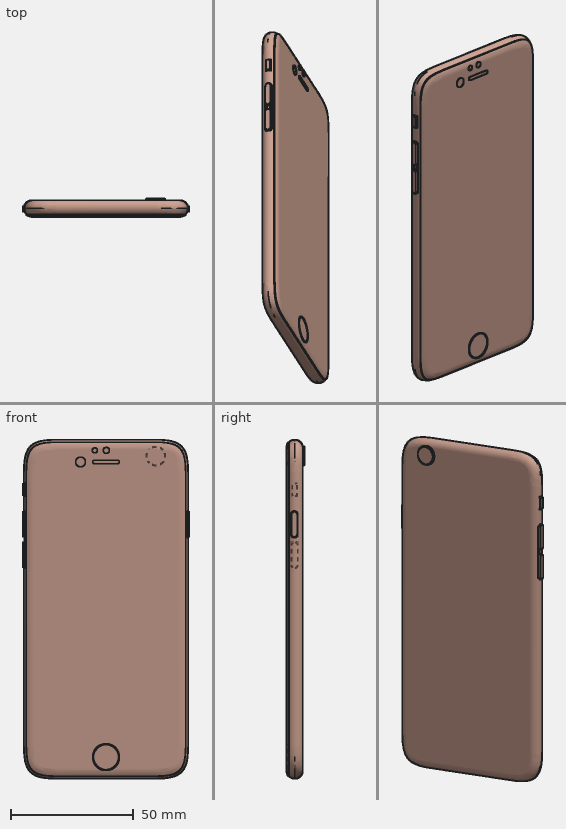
import cadquery as cq
import math


LENGTH = 138.1
BUTTON_PROUD = 0.35
WIDTH = 67.7 - 2 * BUTTON_PROUD
CORNER_REACH = 13.1
CORNER_HANDLE = 0.78
BACK_RADIUS = 3.3
FRONT_RADIUS = 3.2
BACK_Y = BACK_RADIUS

FRONT_Y = -3.6
GLASS_INSET = 1.1
GLASS_STEP = 0.4
GLASS_CURVE_DROP = 0.8
FLAT_INSET = 4.1
GLASS_EDGE_Y = FRONT_Y + GLASS_CURVE_DROP
HOUSING_RIM_Y = GLASS_EDGE_Y + GLASS_STEP
RING_INNER_INSET = 5.8
SLAB_INSET = 5.0
SLAB_CORNER_RADIUS = 4.1

DISPLAY_HEIGHT = 104.6
DISPLAY_WIDTH = WIDTH - 2 * FLAT_INSET
DISPLAY_DEPTH = 0.7
RECESS_DEPTH = 0.3
HOME_Z = -60.2
HOME_DIAMETER = 10.9
HOME_GROOVE = 0.35
EARPIECE_Z = 60.0
EARPIECE_LENGTH = 10.8
EARPIECE_HEIGHT = 1.5
FRONT_OPENINGS = [(-10.4, EARPIECE_Z, 4.0), (-4.5, 64.6, 2.1), (0.1, 64.6, 2.5)]

CONTROL_Y = -0.21
POCKET_DEPTH = 0.7
BUTTON_ROOT_DEPTH = 2 * POCKET_DEPTH
BUTTON_WIDTH = 2.2
BUTTON_LENGTH = 10.2
BUTTON_CLEARANCE = 0.35
UPPER_BUTTON_Z = 34.5
LOWER_BUTTON_Z = 22.1
BRIDGE_WIDTH = 1.4
BRIDGE_LENGTH = 2.1
BRIDGE_SINK = 0.3
SWITCH_Z = 48.8
SWITCH_LENGTH = 4.7
SWITCH_WIDTH = 1.5
BLOCK_CORNER = 0.3

CAMERA_X = 20.2
CAMERA_Z = 62.5
CAMERA_BASE_DIAMETER = 8.0
CAMERA_TOP_DIAMETER = 7.2
CAMERA_HEIGHT = 0.8


def phone_outline():
    """Closed front outline with smoothly blended corners, starting mid-height on the +X side."""
    half_w = WIDTH / 2
    half_l = LENGTH / 2
    start_gap = CORNER_REACH * (1 - CORNER_HANDLE)

    def corner(sx, sz, from_side):
        on_side = (sx * half_w, sz * (half_l - CORNER_REACH))
        side_handle = (sx * half_w, sz * (half_l - start_gap))
        end_handle = (sx * (half_w - start_gap), sz * half_l)
        on_end = (sx * (half_w - CORNER_REACH), sz * half_l)
        points = [on_side, side_handle, end_handle, on_end]
        return points if from_side else points[::-1]

    outline = cq.Workplane("XZ").moveTo(half_w, 0)
    for sx, sz, from_side in [(1, 1, True), (-1, 1, False), (-1, -1, True), (1, -1, False)]:
        points = corner(sx, sz, from_side)
        outline = outline.lineTo(*points[0]).bezier(points[1:], includeCurrent=True)
    return outline.close()


def arc_middle(center, radius, degrees):
    """Point on a circle, used as the middle point of an arc."""
    angle = math.radians(degrees)
    return (center[0] + radius * math.cos(angle), center[1] + radius * math.sin(angle))


def border_ring():
    """Rounded border: the edge section carried around the outline."""
    edge_x = WIDTH / 2
    inner_x = edge_x - RING_INNER_INSET
    flat_x = edge_x - FLAT_INSET
    glass_x = edge_x - GLASS_INSET
    rim_angle = math.degrees(math.asin(HOUSING_RIM_Y / FRONT_RADIUS))
    rim_x = edge_x - FRONT_RADIUS + math.sqrt(FRONT_RADIUS**2 - HOUSING_RIM_Y**2)

    curve_width = glass_x - flat_x
    glass_radius = (curve_width**2 + GLASS_CURVE_DROP**2) / (2 * GLASS_CURVE_DROP)
    glass_sweep = math.degrees(math.asin(curve_width / glass_radius))

    section = (
        cq.Workplane("XY")
        .moveTo(inner_x, BACK_Y)
        .lineTo(edge_x - BACK_RADIUS, BACK_Y)
        .threePointArc(arc_middle((edge_x - BACK_RADIUS, 0), BACK_RADIUS, 45), (edge_x, 0))
        .threePointArc(
            arc_middle((edge_x - FRONT_RADIUS, 0), FRONT_RADIUS, rim_angle / 2),
            (rim_x, HOUSING_RIM_Y),
        )
        .lineTo(glass_x, HOUSING_RIM_Y)
        .lineTo(glass_x, GLASS_EDGE_Y)
        .threePointArc(
            arc_middle((flat_x, FRONT_Y + glass_radius), glass_radius, -90 + glass_sweep / 2),
            (flat_x, FRONT_Y),
        )
        .lineTo(inner_x, FRONT_Y)
        .close()
    )
    return section.sweep(phone_outline())


def middle_slab():
    """Flat slab that fills the border ring."""
    slab = cq.Workplane("XY").box(
        WIDTH - 2 * SLAB_INSET,
        BACK_Y - FRONT_Y,
        LENGTH - 2 * SLAB_INSET,
    )
    slab = slab.edges("|Y").fillet(SLAB_CORNER_RADIUS)
    return slab.translate((0, (BACK_Y + FRONT_Y) / 2, 0))


def display_panel():
    """Panel set flush into the flat front."""
    panel = cq.Workplane("XY").box(DISPLAY_WIDTH, DISPLAY_DEPTH, DISPLAY_HEIGHT)
    return panel.translate((0, FRONT_Y + DISPLAY_DEPTH / 2, 0))


def front_sketch(x, z):
    """Sketch plane on the flat front, centred on a feature."""
    return cq.Workplane("XZ", origin=(x, FRONT_Y, z))


def front_recesses():
    """Shallow openings in the glass: home button groove, earpiece, camera and sensors."""
    cutters = (
        front_sketch(0, HOME_Z)
        .circle(HOME_DIAMETER / 2)
        .circle(HOME_DIAMETER / 2 - HOME_GROOVE)
        .extrude(-RECESS_DEPTH)
    )
    earpiece = front_sketch(0, EARPIECE_Z).slot2D(EARPIECE_LENGTH, EARPIECE_HEIGHT)
    cutters = cutters.union(earpiece.extrude(-RECESS_DEPTH))
    for x, z, diameter in FRONT_OPENINGS:
        opening = front_sketch(x, z).circle(diameter / 2)
        cutters = cutters.union(opening.extrude(-RECESS_DEPTH))
    return cutters


def side_slot(side, z, length, width, inner_depth, proud):
    """Pill-shaped block on one side (-1 or +1), from a depth inside to a height outside."""
    start_x = WIDTH / 2 - inner_depth
    pill = cq.Workplane("YZ").center(CONTROL_Y, z).slot2D(length, width, 90)
    pill = pill.extrude(inner_depth + proud).translate((start_x, 0, 0))
    return pill if side > 0 else pill.mirror("YZ")


def side_block(z, length, width, inner_depth, proud):
    """Rectangular block on the -X side, from a depth inside to a height outside."""
    block = cq.Workplane("XY").box(inner_depth + proud, width, length)
    center_x = -WIDTH / 2 + (inner_depth - proud) / 2
    return block.edges("|X").fillet(BLOCK_CORNER).translate((center_x, CONTROL_Y, z))


def add_side_controls(body):
    """Volume buttons and mute switch on the -X side, power button on the +X side."""
    pocket_width = BUTTON_WIDTH + 2 * BUTTON_CLEARANCE
    pocket_length = BUTTON_LENGTH + 2 * BUTTON_CLEARANCE

    volume_z = (UPPER_BUTTON_Z + LOWER_BUTTON_Z) / 2
    volume_length = pocket_length + UPPER_BUTTON_Z - LOWER_BUTTON_Z
    body = body.cut(side_slot(-1, volume_z, volume_length, pocket_width, POCKET_DEPTH, BUTTON_PROUD))
    body = body.cut(side_slot(1, UPPER_BUTTON_Z, pocket_length, pocket_width, POCKET_DEPTH, BUTTON_PROUD))
    for side, z in [(-1, UPPER_BUTTON_Z), (-1, LOWER_BUTTON_Z), (1, UPPER_BUTTON_Z)]:
        body = body.union(side_slot(side, z, BUTTON_LENGTH, BUTTON_WIDTH, BUTTON_ROOT_DEPTH, BUTTON_PROUD))
    body = body.union(side_block(volume_z, BRIDGE_LENGTH, BRIDGE_WIDTH, BUTTON_ROOT_DEPTH, -BRIDGE_SINK))

    switch_pocket_length = SWITCH_LENGTH + 2 * BUTTON_CLEARANCE
    switch_pocket_width = SWITCH_WIDTH + 2 * BUTTON_CLEARANCE
    body = body.cut(
        side_block(SWITCH_Z, switch_pocket_length, switch_pocket_width, POCKET_DEPTH, BUTTON_PROUD)
    )
    return body.union(side_block(SWITCH_Z, SWITCH_LENGTH, SWITCH_WIDTH, BUTTON_ROOT_DEPTH, BUTTON_PROUD))


def rear_camera():
    """Tapered camera bump standing on the back."""
    camera_chamfer = (CAMERA_BASE_DIAMETER - CAMERA_TOP_DIAMETER) / 2
    bump = (
        cq.Workplane("XZ", origin=(CAMERA_X, BACK_Y, CAMERA_Z))
        .circle(CAMERA_BASE_DIAMETER / 2)
        .extrude(-CAMERA_HEIGHT)
        .faces(">Y")
        .chamfer(camera_chamfer)
    )
    root = cq.Workplane("XZ", origin=(CAMERA_X, BACK_Y, CAMERA_Z))
    root = root.circle(CAMERA_BASE_DIAMETER / 2).extrude(BACK_RADIUS / 2)
    return bump.union(root)


body = border_ring().union(middle_slab())
body = body.union(rear_camera())
body = add_side_controls(body)
display = display_panel()
body = body.cut(display).union(display, clean=False)
result = body.cut(front_recesses(), clean=False)